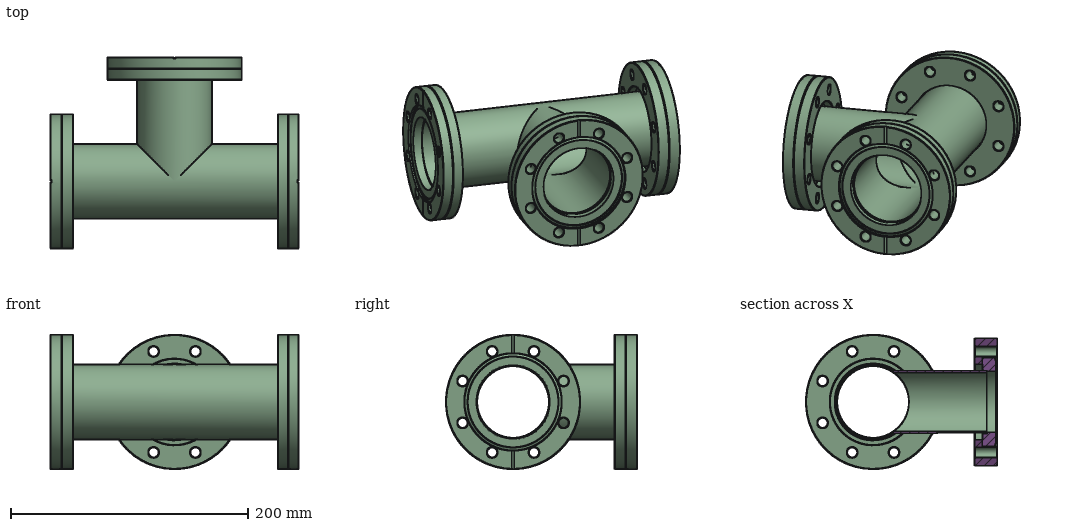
import cadquery as cq
arm_length = 104.6
tube_outer_d = 63.5
tube_inner_d = 60.3

flange_d = 113.5
edge_chamfer = 0.5
bolt_hole_d = 8.4
bolt_circle_d = 92.0
bolt_count = 8
rim_groove_width = 1.0
rim_groove_depth = 0.1
leak_groove_d = 2.0

recess_d = 82.5
recess_depth = 1.9
knife_root_d = 81.6
knife_d = 77.0
knife_depth = 0.8
floor_d = 76.2
floor_depth = 1.3
bore_d = 62.0
socket_d = 64.0
tube_end_depth = 8.8

rotatable_thickness = 19.3
fixed_thickness = 17.5
ring_back_d = 72.5
insert_back_depth = 12.5

LEFT = (-1, 0, 0)
RIGHT = (1, 0, 0)
BRANCH = (0, 1, 0)


def revolved(profile):
    """Revolve a closed (radius, height) profile around the local Z axis."""
    return cq.Workplane("YZ").polyline(profile).close().revolve(360, (0, 0), (0, 1))


def cut_rim_groove(flange, thickness):
    """Cut the shallow groove around the middle of the rim."""
    groove = (
        cq.Workplane("XY", origin=(0, 0, -thickness / 2 - rim_groove_width / 2))
        .circle(flange_d)
        .circle(flange_d / 2 - rim_groove_depth)
        .extrude(rim_groove_width)
    )
    return flange.cut(groove)


def cut_bolt_holes(flange, thickness):
    """Drill the bolt circle, straddling the local X and Y axes, with both hole ends chamfered."""
    radius = bolt_hole_d / 2
    drill = revolved([
        (0, 0),
        (radius + edge_chamfer, 0),
        (radius, -edge_chamfer),
        (radius, -thickness + edge_chamfer),
        (radius + edge_chamfer, -thickness),
        (0, -thickness),
    ]).translate((bolt_circle_d / 2, 0, 0))
    pitch_angle = 360 / bolt_count
    for index in range(bolt_count):
        angle = (index + 0.5) * pitch_angle
        flange = flange.cut(drill.rotate((0, 0, 0), (0, 0, 1), angle))
    return flange


def cut_leak_grooves(flange):
    """Cut the two half-round grooves that run along local X from the recess to the rim."""
    start = recess_d / 2 - leak_groove_d / 2
    length = flange_d / 2
    for side in (1, -1):
        groove = (
            cq.Workplane(cq.Plane((side * start, 0, 0), (0, 0, 1), (side, 0, 0)))
            .circle(leak_groove_d / 2)
            .extrude(length)
        )
        flange = flange.cut(groove)
    return flange


def finish_flange(flange, thickness):
    """Cut the features that every bolted disc has."""
    flange = cut_rim_groove(flange, thickness)
    flange = cut_bolt_holes(flange, thickness)
    return cut_leak_grooves(flange)


def sealing_profile():
    """Profile points up the tube socket and bore, then out over the knife edge to the recess."""
    return [
        (socket_d / 2, -tube_end_depth),
        (bore_d / 2, -tube_end_depth),
        (bore_d / 2, -floor_depth),
        (floor_d / 2, -floor_depth),
        (knife_d / 2, -knife_depth),
        (knife_root_d / 2, -recess_depth),
        (recess_d / 2, -recess_depth),
    ]


def make_ring():
    """Loose outer ring of a rotatable flange, with its face at local Z = 0."""
    rim = flange_d / 2
    back = -rotatable_thickness
    ring = revolved([
        (recess_d / 2, 0),
        (rim - edge_chamfer, 0),
        (rim, -edge_chamfer),
        (rim, back + edge_chamfer),
        (rim - edge_chamfer, back),
        (ring_back_d / 2 + edge_chamfer, back),
        (ring_back_d / 2, back + edge_chamfer),
        (ring_back_d / 2, -insert_back_depth),
        (recess_d / 2, -insert_back_depth),
    ])
    return finish_flange(ring, rotatable_thickness)


def make_insert():
    """Welded insert that carries the knife edge inside a loose ring."""
    back = -insert_back_depth
    return revolved(
        sealing_profile()
        + [
            (recess_d / 2, back),
            (socket_d / 2 + edge_chamfer, back),
            (socket_d / 2, back + edge_chamfer),
        ]
    )


def make_fixed_flange():
    """One-piece flange welded straight onto the tube."""
    rim = flange_d / 2
    back = -fixed_thickness
    flange = revolved(
        sealing_profile()
        + [
            (recess_d / 2, 0),
            (rim - edge_chamfer, 0),
            (rim, -edge_chamfer),
            (rim, back + edge_chamfer),
            (rim - edge_chamfer, back),
            (socket_d / 2, back),
        ]
    )
    return finish_flange(flange, fixed_thickness)


def place(body, direction):
    """Move a flange part to the end of an arm, its face outward and local X along Z."""
    origin = tuple(arm_length * component for component in direction)
    return body.solids().val().moved(cq.Location(cq.Plane(origin, (0, 0, 1), direction)))


def arm_cylinders(diameter):
    """Solid run and branch cylinders of one diameter, joined."""
    reach = arm_length - tube_end_depth
    run = cq.Workplane("YZ", origin=(-reach, 0, 0)).circle(diameter / 2).extrude(2 * reach)
    branch = cq.Workplane("XZ").circle(diameter / 2).extrude(-reach)
    return run.union(branch)


tee = arm_cylinders(tube_outer_d).cut(arm_cylinders(tube_inner_d)).solids()

rotatable_arms = (LEFT, BRANCH)
rings = [place(make_ring(), direction) for direction in rotatable_arms]
inserts = [place(make_insert(), direction) for direction in rotatable_arms]

fixed_flange = place(make_fixed_flange(), RIGHT)

result = cq.Compound.makeCompound([tee.val(), *rings, *inserts, fixed_flange])